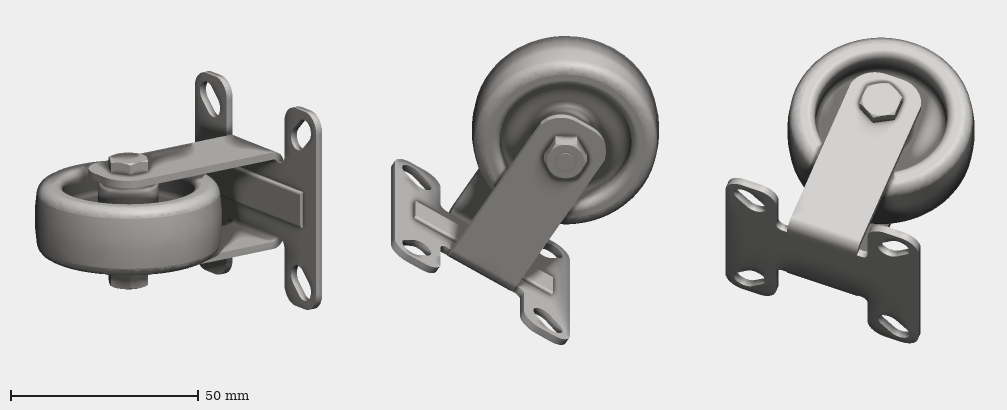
import cadquery as cq
import math

WHEEL_RADIUS = 25.0
WHEEL_WIDTH = 19.0
CROWN_DROP = 1.0
TREAD_ROUND = 3.0
RIM_INNER_RADIUS = 17.6
RIM_ROUND = 2.15
WEB_THICKNESS = 3.5
HUB_RADIUS = 8.05
HUB_WIDTH = 21.8
HUB_END_ROUND = 2.0
RECESS_ROUND = 1.5

PLATE_SIZE = 55.0
SHEET_THICKNESS = 2.0
OVERALL_LENGTH = 68.9
PLATE_BACK_Y = OVERALL_LENGTH - WHEEL_RADIUS
PLATE_FRONT_Y = PLATE_BACK_Y - SHEET_THICKNESS
LEG_WIDTH = 14.4
LEG_CORNER_RADIUS = 5.0
BRIDGE_HEIGHT = 21.1
NOTCH_CORNER_RADIUS = 2.0
SLOT_RADIUS = 3.1
SLOT_OUTER = 22.05
SLOT_INNER = 19.15

ARM_WIDTH = 20.0
ARM_GAP = 22.9
ARM_OUTER_Z = ARM_GAP / 2 + SHEET_THICKNESS
ARM_END_Y = -9.5
ARM_END_FLAT = 4.9
ARM_BEVEL_START_Y = -3.7
ARM_BEVEL_LENGTH_Y = 1.85
ARM_BEVEL_DEPTH = 0.75
BEND_RADIUS = 1.4
BEND_CENTRE_Y = PLATE_FRONT_Y - BEND_RADIUS
BEND_CENTRE_Z = ARM_GAP / 2 - BEND_RADIUS

RIB_LENGTH = 43.3
RIB_HEIGHT = 10.0
RIB_DEPTH = 0.95
RIB_ROUND = 0.8

AXLE_RADIUS = 3.1
HEX_ACROSS_FLATS = 10.0
HEX_ACROSS_CORNERS = HEX_ACROSS_FLATS / math.cos(math.pi / 6)
HEAD_HEIGHT = 3.2
NUT_HEIGHT = 5.0
BOLT_TIP_RADIUS = 2.5
BOLT_TIP_LENGTH = 0.3
CHAMFER_ANGLE = math.radians(30)

MATCH_TOLERANCE = 0.01


def round_circles(body, fillet_radius, circles):
    """Fillet the circular edges given as (radius, height), at +height and at -height."""
    chosen = []
    for edge in body.edges("%CIRCLE").vals():
        for radius, height in circles:
            same_radius = abs(edge.radius() - radius) < MATCH_TOLERANCE
            same_height = abs(abs(edge.Center().z) - height) < MATCH_TOLERANCE
            if same_radius and same_height:
                chosen.append(edge)
    return cq.Workplane(body.val().fillet(fillet_radius, chosen))


def make_wheel():
    half_width = WHEEL_WIDTH / 2
    half_web = WEB_THICKNESS / 2
    half_hub = HUB_WIDTH / 2
    edge_radius = WHEEL_RADIUS - CROWN_DROP
    profile = (
        cq.Workplane("XZ")
        .moveTo(AXLE_RADIUS, -half_hub)
        .lineTo(HUB_RADIUS, -half_hub)
        .lineTo(HUB_RADIUS, -half_web)
        .lineTo(RIM_INNER_RADIUS, -half_web)
        .lineTo(RIM_INNER_RADIUS, -half_width)
        .lineTo(edge_radius, -half_width)
        .threePointArc((WHEEL_RADIUS, 0), (edge_radius, half_width))
        .lineTo(RIM_INNER_RADIUS, half_width)
        .lineTo(RIM_INNER_RADIUS, half_web)
        .lineTo(HUB_RADIUS, half_web)
        .lineTo(HUB_RADIUS, half_hub)
        .lineTo(AXLE_RADIUS, half_hub)
        .close()
    )
    wheel = profile.revolve(360, (0, 0, 0), (0, 1, 0))

    recess_corners = [(HUB_RADIUS, half_web), (RIM_INNER_RADIUS, half_web)]
    wheel = round_circles(wheel, RECESS_ROUND, recess_corners)
    wheel = round_circles(wheel, HUB_END_ROUND, [(HUB_RADIUS, half_hub)])
    wheel = round_circles(wheel, RIM_ROUND, [(RIM_INNER_RADIUS, half_width)])
    return round_circles(wheel, TREAD_ROUND, [(edge_radius, half_width)])


def make_plate():
    plate_plane = cq.Workplane("XZ", origin=(0, PLATE_BACK_Y, 0))
    notch_width = PLATE_SIZE - 2 * LEG_WIDTH
    plate = plate_plane.rect(notch_width, BRIDGE_HEIGHT).extrude(SHEET_THICKNESS)
    leg_x = (PLATE_SIZE - LEG_WIDTH) / 2
    legs = (
        plate_plane.pushPoints([(-leg_x, 0), (leg_x, 0)])
        .rect(LEG_WIDTH, PLATE_SIZE)
        .extrude(SHEET_THICKNESS)
        .edges("|Y")
        .fillet(LEG_CORNER_RADIUS)
    )
    plate = plate.union(legs)
    inner_corners = cq.selectors.BoxSelector(
        (-notch_width / 2 - 0.7, PLATE_FRONT_Y - 0.7, -BRIDGE_HEIGHT / 2 - 0.7),
        (notch_width / 2 + 0.7, PLATE_BACK_Y + 0.7, BRIDGE_HEIGHT / 2 + 0.7),
    )
    plate = plate.edges("|Y").edges(inner_corners).fillet(NOTCH_CORNER_RADIUS)
    bend_room_height = BRIDGE_HEIGHT / 2 - BEND_CENTRE_Z
    bend_room_z = BEND_CENTRE_Z + bend_room_height / 2
    bend_rooms = (
        plate_plane.pushPoints([(0, -bend_room_z), (0, bend_room_z)])
        .rect(ARM_WIDTH, bend_room_height)
        .extrude(SHEET_THICKNESS)
    )
    return plate.cut(bend_rooms).cut(make_slots(plate_plane))


def make_slots(plate_plane):
    slot_centre = (SLOT_OUTER + SLOT_INNER) / 2
    slot_length = math.sqrt(2) * (SLOT_OUTER - SLOT_INNER) + 2 * SLOT_RADIUS
    slots = cq.Workplane()
    for side_x in (-1, 1):
        for side_z in (-1, 1):
            slots = slots.add(
                plate_plane.center(side_x * slot_centre, side_z * slot_centre)
                .slot2D(slot_length, 2 * SLOT_RADIUS, 45 * side_x * side_z)
                .extrude(SHEET_THICKNESS)
            )
    return slots.combine()


def make_upper_arm():
    """Arm on the +Z side: bend out of the plate, flat strip and rounded end."""
    inner_z = ARM_GAP / 2
    outer_mid = math.sqrt(0.5) * (BEND_RADIUS + SHEET_THICKNESS)
    inner_mid = math.sqrt(0.5) * BEND_RADIUS
    arm = (
        cq.Workplane("YZ")
        .moveTo(PLATE_BACK_Y, BEND_CENTRE_Z)
        .threePointArc(
            (BEND_CENTRE_Y + outer_mid, BEND_CENTRE_Z + outer_mid),
            (BEND_CENTRE_Y, ARM_OUTER_Z),
        )
        .lineTo(ARM_END_Y, ARM_OUTER_Z)
        .lineTo(ARM_END_Y, inner_z)
        .lineTo(BEND_CENTRE_Y, inner_z)
        .threePointArc(
            (BEND_CENTRE_Y + inner_mid, BEND_CENTRE_Z + inner_mid),
            (PLATE_FRONT_Y, BEND_CENTRE_Z),
        )
        .close()
        .extrude(ARM_WIDTH / 2, both=True)
    )
    return arm.intersect(make_arm_outline())


def make_arm_outline():
    """Block with the plan shape of an arm: tip flat, corner arcs, short side bevels, straight sides."""
    half_width = ARM_WIDTH / 2
    bevel_end_y = ARM_BEVEL_START_Y - ARM_BEVEL_LENGTH_Y
    outline = (
        cq.Workplane("XY")
        .moveTo(0, ARM_END_Y)
        .lineTo(ARM_END_FLAT / 2, ARM_END_Y)
        .tangentArcPoint((half_width - ARM_BEVEL_DEPTH, bevel_end_y), relative=False)
        .lineTo(half_width, ARM_BEVEL_START_Y)
        .lineTo(half_width, PLATE_BACK_Y)
        .lineTo(0, PLATE_BACK_Y)
        .mirrorY()
    )
    return outline.extrude(ARM_OUTER_Z)


def make_rib():
    rib = cq.Workplane("XZ", origin=(0, PLATE_FRONT_Y, 0)).rect(RIB_LENGTH, RIB_HEIGHT).extrude(RIB_DEPTH)
    return rib.edges("|X and <Y").fillet(RIB_ROUND)


def make_hex(height):
    """Hexagon standing on Z = 0 with its top corners turned off by a cone."""
    hexagon = (
        cq.Workplane("XY")
        .polygon(6, HEX_ACROSS_CORNERS)
        .extrude(height)
        .rotate((0, 0, 0), (0, 0, 1), 30)
    )
    top_radius = HEX_ACROSS_FLATS / 2
    base_radius = top_radius + height / math.tan(CHAMFER_ANGLE)
    cone = cq.Workplane(cq.Solid.makeCone(base_radius, top_radius, height))
    return hexagon.intersect(cone)


def make_axle():
    shaft = cq.Workplane("XY").circle(AXLE_RADIUS).extrude(ARM_GAP / 2, both=True)
    head = make_hex(HEAD_HEIGHT).translate((0, 0, ARM_OUTER_Z))
    nut = make_hex(NUT_HEIGHT).mirror("XY").translate((0, 0, -ARM_OUTER_Z))
    tip_base_z = -ARM_OUTER_Z - NUT_HEIGHT
    tip = cq.Workplane("XY", origin=(0, 0, tip_base_z)).circle(BOLT_TIP_RADIUS).extrude(-BOLT_TIP_LENGTH)
    return shaft.union(head).union(nut).union(tip)


def make_fork():
    upper_arm = make_upper_arm()
    lower_arm = upper_arm.mirror("XY")
    bracket = make_plate().union(make_rib()).union(upper_arm).union(lower_arm)
    return bracket.union(make_axle())


wheel = make_wheel()
fork = make_fork()
result = cq.Compound.makeCompound([fork.solids().val(), wheel.solids().val()])